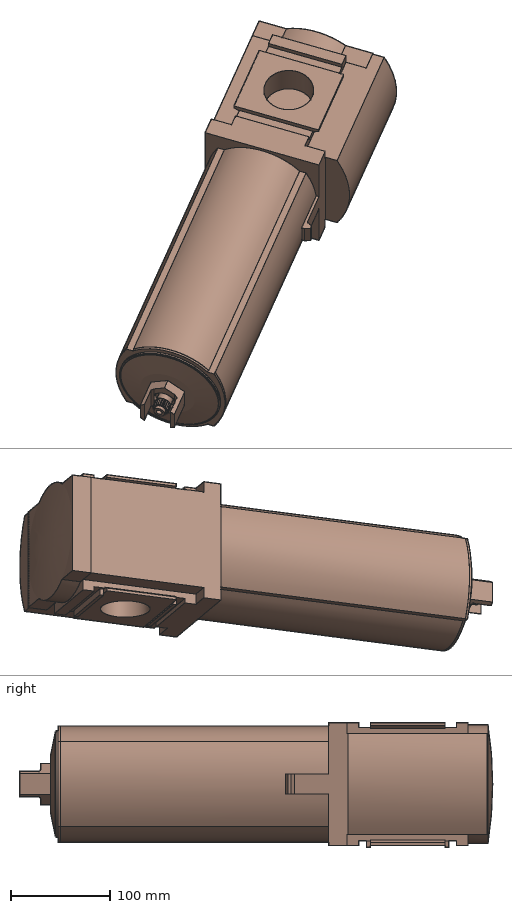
import cadquery as cq
import math


head_width = 122.0
head_height = 124.0
side_height = 102.0
mid_half_length = 61.0
flange_front_y = -79.5
pad_width = 78.5
groove_half_length = 49.0
groove_depth = 5.0

plate_width = 90.5
plate_half_length = 37.5
plate_edge = 3.0
plate_bevel_depth = 3.0
port_diameter = 50.0
port_depth = 30.0
bar_width = 71.5
bar_length = 4.0
bar_bottom_z = -64.0

cover_flat_x = 73.5
cover_crown_x = 87.0
cover_back_y = 80.0
cover_front_y = -60.0

cap_back_y = 81.0
cap_diameter = 120.0
crown_y = 86.0

bowl_diameter = 118.0
bowl_side_x = 58.5
ledge_z = 43.0
ledge_outer_x = 47.0
bowl_front_y = -350.0
rim_front_y = -352.5
rim_inset = 0.25
lip_diameter = 108.0
lip_front_y = -354.5
dome_diameter = 105.0
dome_flat_diameter = 57.5
dome_back_y = -355.5
dome_front_y = -360.0

latch_width = 20.0
latch_root_x = 56.5
latch_outer_x = 61.0
latch_tip_x = 67.0
latch_ramp_y = -114.0
latch_tip_back_y = -118.0
latch_tip_front_y = -120.5
latch_front_y = -123.0

hex_across_flats = 36.3
hex_front_y = -370.0
prong_gap = 27.5
root_bevel_width = 3.0
root_bevel_height = 1.5
prong_front_y = -391.0
recess_diameter = 23.0
recess_depth = 5.0
neck_diameter = 15.7
neck_front_y = -374.0
knob_diameter = 16.5
knob_root_diameter = 14.0
knob_teeth = 20
knob_front_y = -382.0
nipple_diameter = 11.5
nipple_front_y = -386.0
bore_diameter = 6.0


def block(width, height, y_start, y_end, z=0):
    """Box centred on X = 0 and on z, running between two places along Y."""
    middle_y = (y_start + y_end) / 2
    return cq.Workplane("XY").box(width, abs(y_end - y_start), height).translate((0, middle_y, z))


def section_at(y):
    """Sketch plane across the axis: local x is X, local y is Z, extrusions run toward -Y."""
    return cq.Workplane("XZ", origin=(0, y, 0))


def rod(diameter, y_start, y_end):
    """Cylinder on the axis, with y_start the end nearer +Y."""
    return section_at(y_start).circle(diameter / 2).extrude(y_start - y_end)


def port_plate():
    """Top port plate with long edges that slope in below a straight band."""
    top = head_height / 2
    edge_z = top - plate_edge
    root_z = edge_z - plate_bevel_depth
    profile = [
        (-plate_width / 2, top),
        (plate_width / 2, top),
        (plate_width / 2, edge_z),
        (pad_width / 2, root_z),
        (-pad_width / 2, root_z),
        (-plate_width / 2, edge_z),
    ]
    return section_at(plate_half_length).polyline(profile).close().extrude(2 * plate_half_length)


def head():
    body = block(head_width, side_height, -mid_half_length, mid_half_length)
    body = body.union(block(head_width, head_height, flange_front_y, -mid_half_length))
    body = body.union(block(pad_width, head_height, -mid_half_length, mid_half_length))
    plate = port_plate()
    groove = block(pad_width, groove_depth, -groove_half_length, groove_half_length,
                   z=(head_height - groove_depth) / 2)
    port = (
        cq.Workplane("XY", origin=(0, 0, head_height / 2 - port_depth))
        .circle(port_diameter / 2)
        .extrude(port_depth)
    )
    for turn in (0, 180):
        axis = ((0, 0, 0), (0, 1, 0), turn)
        body = body.cut(groove.rotate(*axis))
        body = body.union(plate.rotate(*axis))
        body = body.cut(port.rotate(*axis))
    return body


def seal_bars():
    """Bars along the two ends of the bottom port plate, standing slightly proud of it."""
    bar_top_z = groove_depth - head_height / 2
    height = bar_top_z - bar_bottom_z
    bars = cq.Workplane("XY")
    for side in (-1, 1):
        bars = bars.union(block(
            bar_width, height, side * plate_half_length, side * (plate_half_length + bar_length),
            z=(bar_top_z + bar_bottom_z) / 2,
        ))
    return bars


def side_cover():
    half_height = side_height / 2
    return (
        section_at(cover_back_y)
        .moveTo(head_width / 2, -half_height)
        .lineTo(cover_flat_x, -half_height)
        .threePointArc((cover_crown_x, 0), (cover_flat_x, half_height))
        .lineTo(head_width / 2, half_height)
        .close()
        .extrude(cover_back_y - cover_front_y)
    )


def bowl_outline(y, inset=0):
    """Outline with flatter sides that overhang the round top and bottom as ledges."""
    radius = bowl_diameter / 2 - inset
    side_x = bowl_side_x - inset
    outer_x = ledge_outer_x - inset
    inner_x = math.sqrt(radius**2 - ledge_z**2)
    return (
        section_at(y)
        .moveTo(-inner_x, ledge_z)
        .threePointArc((0, radius), (inner_x, ledge_z))
        .lineTo(outer_x, ledge_z)
        .threePointArc((side_x, 0), (outer_x, -ledge_z))
        .lineTo(inner_x, -ledge_z)
        .threePointArc((0, -radius), (-inner_x, -ledge_z))
        .lineTo(-outer_x, -ledge_z)
        .threePointArc((-side_x, 0), (-outer_x, ledge_z))
        .close()
    )


def dome():
    """Spherical zone between the lip and the flat round the drain."""
    back_radius = dome_diameter / 2
    flat_radius = dome_flat_diameter / 2
    height = dome_back_y - dome_front_y
    flat_distance = (back_radius**2 + height**2 - flat_radius**2) / (2 * height)
    sphere_radius = math.hypot(flat_distance, flat_radius)
    middle_radius = (back_radius + flat_radius) / 2
    middle_y = dome_front_y + flat_distance - math.sqrt(sphere_radius**2 - middle_radius**2)
    return (
        cq.Workplane("XY")
        .moveTo(0, lip_front_y)
        .lineTo(back_radius, lip_front_y)
        .lineTo(back_radius, dome_back_y)
        .threePointArc((middle_radius, middle_y), (flat_radius, dome_front_y))
        .lineTo(0, dome_front_y)
        .close()
        .revolve(360, (0, 0, 0), (0, 1, 0))
    )


def bowl():
    tube = bowl_outline(flange_front_y).extrude(flange_front_y - bowl_front_y)
    rim = bowl_outline(bowl_front_y, rim_inset).extrude(bowl_front_y - rim_front_y)
    lip = rod(lip_diameter, rim_front_y, lip_front_y)
    return tube.union(rim).union(lip).union(dome())


def latch():
    outline = [
        (latch_root_x, flange_front_y),
        (latch_outer_x, flange_front_y),
        (latch_outer_x, latch_ramp_y),
        (latch_tip_x, latch_tip_back_y),
        (latch_tip_x, latch_tip_front_y),
        (latch_outer_x, latch_front_y),
        (latch_root_x, latch_front_y),
    ]
    return cq.Workplane("XY").polyline(outline).close().extrude(latch_width / 2, both=True)


def drain_socket():
    """Hexagon with corners at top and bottom, slotted so that two prongs stand at its sides."""
    corner_radius = hex_across_flats / 2 / math.cos(math.pi / 6)
    corners = [
        (corner_radius * math.sin(i * math.pi / 3), corner_radius * math.cos(i * math.pi / 3))
        for i in range(6)
    ]
    socket = section_at(dome_front_y).polyline(corners).close().extrude(dome_front_y - prong_front_y)
    half_gap = prong_gap / 2
    half_floor = half_gap - root_bevel_width
    gap_profile = [
        (-half_floor, hex_front_y),
        (half_floor, hex_front_y),
        (half_gap, hex_front_y - root_bevel_height),
        (half_gap, prong_front_y),
        (-half_gap, prong_front_y),
        (-half_gap, hex_front_y - root_bevel_height),
    ]
    gap = cq.Workplane("XY").polyline(gap_profile).close().extrude(corner_radius, both=True)
    socket = socket.cut(gap)
    return socket.cut(rod(recess_diameter, hex_front_y + recess_depth, hex_front_y))


def drain_screw():
    """Neck, toothed knob and nipple, with a bore from the front of the nipple."""
    neck_back_y = hex_front_y + recess_depth
    tooth_points = []
    for i in range(2 * knob_teeth):
        radius = (knob_diameter if i % 2 == 0 else knob_root_diameter) / 2
        angle = i * math.pi / knob_teeth
        tooth_points.append((radius * math.cos(angle), radius * math.sin(angle)))
    knob = section_at(neck_front_y).polyline(tooth_points).close().extrude(neck_front_y - knob_front_y)
    screw = rod(neck_diameter, neck_back_y, neck_front_y)
    screw = screw.union(knob)
    screw = screw.union(rod(nipple_diameter, knob_front_y, nipple_front_y))
    return screw.cut(rod(bore_diameter, neck_back_y, nipple_front_y))


def build_housing():
    """Head, side cover, bowl, latch and drain as one solid."""
    body = head()
    for feature in (seal_bars(), side_cover(), bowl(), latch(), drain_socket(), drain_screw()):
        body = body.union(feature)
    return body


def build_cap():
    """Rear cap: a block with a round middle and a shallow domed end."""
    body = block(head_width, side_height, mid_half_length, cap_back_y)
    body = body.union(rod(cap_diameter, cap_back_y, mid_half_length))
    crown_height = crown_y - cap_back_y
    base_radius = cap_diameter / 2
    sphere_radius = (base_radius**2 + crown_height**2) / (2 * crown_height)
    half_radius = base_radius / 2
    half_radius_y = crown_y - sphere_radius + math.sqrt(sphere_radius**2 - half_radius**2)
    crown = (
        cq.Workplane("XY")
        .moveTo(0, cap_back_y)
        .lineTo(base_radius, cap_back_y)
        .threePointArc((half_radius, half_radius_y), (0, crown_y))
        .close()
        .revolve(360, (0, 0, 0), (0, 1, 0))
    )
    return body.union(crown)


housing = build_housing()
cap = build_cap()

result = cq.Compound.makeCompound([housing.val(), cap.val()])